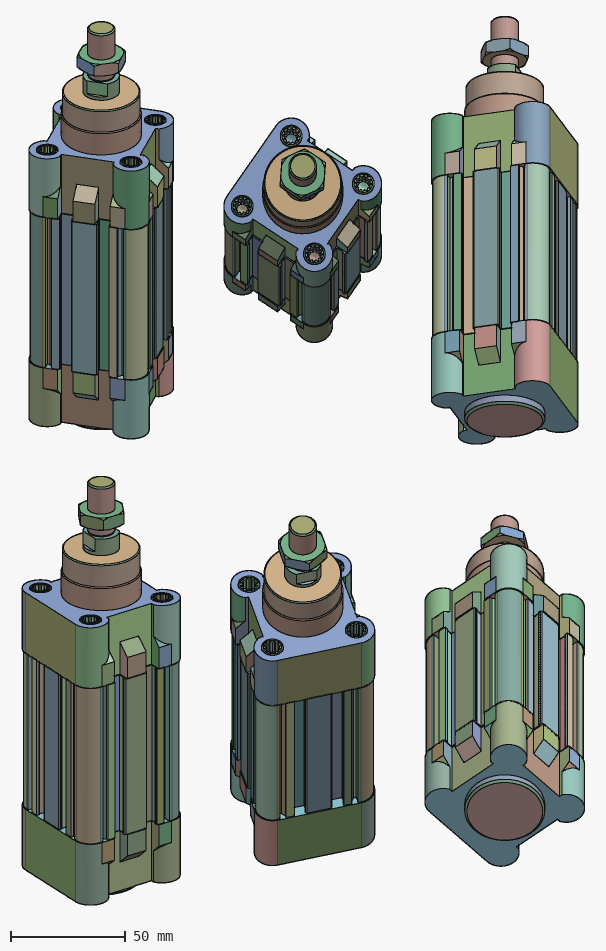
import cadquery as cq
import math

total_height = 193.0
rear_boss_height = 4.0
body_length = 135.0
cap_length = 29.6
rear_joint_z = rear_boss_height + cap_length
front_face_z = rear_boss_height + body_length
front_joint_z = front_face_z - cap_length
barrel_length = front_joint_z - rear_joint_z

cap_half_width = 27.0
screw_spacing = 38.0
screw_offset = screw_spacing / 2
post_radius = cap_half_width - screw_offset
recess_floor = 21.2
recess_half_width = 11.9
block_length = 10.4
block_slope_length = 5.3
middle_block_half_width = 5.0
corner_block_outer = 18.6

barrel_half_width = 26.5
barrel_corner_radius = barrel_half_width - screw_offset
slot_offset = 8.6
slot_mouth_width = 5.2
slot_inner_width = 6.2
slot_lip = 1.5
slot_floor = 21.8
rail_bevel = 0.5
groove_inner = 14.9
groove_middle = 16.3
groove_outer = 17.7
groove_shoulder = 1.2
groove_steep_angle = 50.0
groove_shallow_angle = 24.0

boss_diameter = 35.0
rear_boss_chamfer = 1.0
front_boss_height = 11.2
collar_diameter = 34.0
collar_height = 10.8
collar_chamfer = 0.5
collar_top_z = front_face_z + front_boss_height + collar_height

head_recess_diameter = 9.5
head_top_diameter = 8.0
head_groove_depth = 1.0
socket_points = 12
socket_outer_radius = 3.8
socket_inner_radius = 2.8
socket_depth = 7.0
cone_diameter = 4.92
cone_depth = 1.4

rod_diameter = 16.0
thread_diameter = 12.0
thread_tip_diameter = 10.65
thread_length = 24.0
neck_diameter = 11.45
neck_length = 0.5
shoulder_z = total_height - thread_length
flat_spacing = 13.0
flat_length = 6.3
nut_across_flats = 19.0
nut_half_side_angle = 30.0
nut_across_corners = nut_across_flats / math.cos(math.radians(nut_half_side_angle))
nut_face_diameter = 19.6
nut_thickness = 6.0
nut_bottom_z = total_height - 18.8
nut_chamfer_angle = 30.0


def cylinder(diameter, height, z):
    return cq.Workplane("XY").workplane(offset=z).circle(diameter / 2).extrude(height)


def box(x_min, x_max, y_min, y_max, z_min, z_max):
    size = (x_max - x_min, y_max - y_min, z_max - z_min)
    return cq.Workplane("XY").box(*size, centered=False).translate((x_min, y_min, z_min))


def about_axis(shape, angle):
    return shape.rotate((0, 0, 0), (0, 0, 1), angle)


def sloped_block(x_min, x_max):
    """Block on the -Y side of a cap standing at z = 0, sloping back to the recess floor at its top."""
    side = [
        (-recess_floor, 0),
        (-cap_half_width, 0),
        (-cap_half_width, block_length),
        (-recess_floor, block_length + block_slope_length),
    ]
    return cq.Workplane("YZ").workplane(offset=x_min).polyline(side).close().extrude(x_max - x_min)


def end_cap():
    """Cap with its barrel joint at z = 0 and its end face at z = cap_length."""
    core_size = 2 * recess_floor
    cap = cq.Workplane("XY").rect(core_size, core_size).extrude(cap_length)
    posts = (
        cq.Workplane("XY")
        .rect(screw_spacing, screw_spacing, forConstruction=True)
        .vertices()
        .circle(post_radius)
        .extrude(cap_length)
    )
    cap = cap.union(posts)
    cap = cap.union(box(-screw_offset, screw_offset, 0, cap_half_width, 0, cap_length))
    recess = box(-recess_half_width, recess_half_width, -cap_half_width, -recess_floor, 0, cap_length)
    blocks = (
        sloped_block(-middle_block_half_width, middle_block_half_width)
        .union(sloped_block(recess_half_width, corner_block_outer))
        .union(sloped_block(-corner_block_outer, -recess_half_width))
    )
    for angle in (-90, 0, 90):
        cap = cap.cut(about_axis(recess, angle))
        cap = cap.union(about_axis(blocks, angle))
    return cap


def t_slot():
    """T-slot beside the middle rail, whose edge is bevelled."""
    mouth_near = slot_offset - slot_mouth_width / 2
    mouth_far = slot_offset + slot_mouth_width / 2
    inner_near = slot_offset - slot_inner_width / 2
    inner_far = slot_offset + slot_inner_width / 2
    lip_y = -barrel_half_width + slot_lip
    outline = [
        (mouth_near - rail_bevel, -barrel_half_width),
        (mouth_near, -barrel_half_width + rail_bevel),
        (mouth_near, lip_y),
        (inner_near, lip_y),
        (inner_near, -slot_floor),
        (inner_far, -slot_floor),
        (inner_far, lip_y),
        (mouth_far, lip_y),
        (mouth_far, -barrel_half_width),
    ]
    return cq.Workplane("XY").polyline(outline).close().extrude(barrel_length)


def side_groove():
    """Groove beside the corner, with straight walls and a floor that deepens in two slopes."""
    inner_y = -barrel_half_width + groove_shoulder
    middle_y = inner_y + (groove_middle - groove_inner) * math.tan(math.radians(groove_steep_angle))
    outer_y = middle_y + (groove_outer - groove_middle) * math.tan(math.radians(groove_shallow_angle))
    outline = [
        (groove_inner, -barrel_half_width),
        (groove_inner, inner_y),
        (groove_middle, middle_y),
        (groove_outer, outer_y),
        (groove_outer, -barrel_half_width),
    ]
    return cq.Workplane("XY").polyline(outline).close().extrude(barrel_length)


def barrel():
    size = 2 * barrel_half_width
    tube = cq.Workplane("XY").rect(size, size).extrude(barrel_length).edges("|Z").fillet(barrel_corner_radius)
    one_side = t_slot().union(side_groove())
    cuts = one_side.union(one_side.mirror("YZ"))
    for angle in (0, 90, 180, 270):
        tube = tube.cut(about_axis(cuts, angle))
    return tube.translate((0, 0, rear_joint_z))


def screw_socket():
    """Cutter for one screw head, with the cap face at z = 0."""
    outer = head_recess_diameter / 2
    inner = head_top_diameter / 2
    ring = (
        cq.Workplane("XZ")
        .polyline([(inner, 0), (outer, 0), (outer, -head_groove_depth)])
        .close()
        .revolve(360, (0, 0, 0), (0, 1, 0))
    )
    star = []
    for index in range(2 * socket_points):
        radius = socket_inner_radius if index % 2 else socket_outer_radius
        angle = math.pi * index / socket_points
        star.append((radius * math.cos(angle), radius * math.sin(angle)))
    socket = cq.Workplane("XY").polyline(star).close().extrude(-socket_depth)
    cone_bottom = -socket_depth - cone_depth
    cone = (
        cq.Workplane("XZ")
        .polyline([(0, -socket_depth), (cone_diameter / 2, -socket_depth), (0, cone_bottom)])
        .close()
        .revolve(360, (0, 0, 0), (0, 1, 0))
    )
    return ring.union(socket).union(cone)


def make_housing():
    front_cap = end_cap().translate((0, 0, front_joint_z))
    rear_cap = end_cap().mirror("XY").translate((0, 0, rear_joint_z))
    rear_boss = cylinder(boss_diameter, rear_boss_height, 0).faces("<Z").chamfer(rear_boss_chamfer)
    front_boss = cylinder(boss_diameter, front_boss_height, front_face_z)
    front_boss = front_boss.faces(">Z").chamfer((boss_diameter - collar_diameter) / 2)
    collar = cylinder(collar_diameter, collar_height, front_face_z + front_boss_height)
    collar = collar.faces(">Z").chamfer(collar_chamfer)
    housing = barrel()
    for part in (front_cap, rear_cap, rear_boss, front_boss, collar):
        housing = housing.union(part)
    for x in (-screw_offset, screw_offset):
        for y in (-screw_offset, screw_offset):
            housing = housing.cut(screw_socket().translate((x, y, front_face_z)))
    return housing


def make_rod():
    """Piston rod standing on the collar, with wrench flats below its threaded end."""
    rod = cylinder(rod_diameter, shoulder_z - collar_top_z, collar_top_z)
    radius = rod_diameter / 2
    flat_y = flat_spacing / 2
    flat_z = shoulder_z - flat_length
    rod = rod.cut(box(-radius, radius, flat_y, radius, flat_z, shoulder_z))
    rod = rod.cut(box(-radius, radius, -radius, -flat_y, flat_z, shoulder_z))
    thread = cylinder(thread_diameter, thread_length - neck_length, shoulder_z + neck_length)
    thread = thread.faces(">Z").chamfer((thread_diameter - thread_tip_diameter) / 2)
    neck = cylinder(neck_diameter, neck_length, shoulder_z)
    return rod.union(thread).union(neck)


def make_nut():
    """Hexagon nut with flats on the X sides and chamfered corners."""
    nut = (
        cq.Workplane("XY")
        .polygon(6, nut_across_corners)
        .extrude(nut_thickness)
        .rotate((0, 0, 0), (0, 0, 1), nut_half_side_angle)
    )
    corner_radius = nut_across_corners / 2
    face_radius = nut_face_diameter / 2
    drop = (corner_radius - face_radius) * math.tan(math.radians(nut_chamfer_angle))
    turned = (
        cq.Workplane("XZ")
        .polyline(
            [
                (0, 0),
                (face_radius, 0),
                (corner_radius, drop),
                (corner_radius, nut_thickness - drop),
                (face_radius, nut_thickness),
                (0, nut_thickness),
            ]
        )
        .close()
        .revolve(360, (0, 0, 0), (0, 1, 0))
    )
    bore = cylinder(thread_diameter, nut_thickness, 0)
    return nut.intersect(turned).cut(bore).translate((0, 0, nut_bottom_z))


housing = make_housing()
rod = make_rod()
nut = make_nut()

result = cq.Compound.makeCompound([housing.val(), rod.val(), nut.val()])